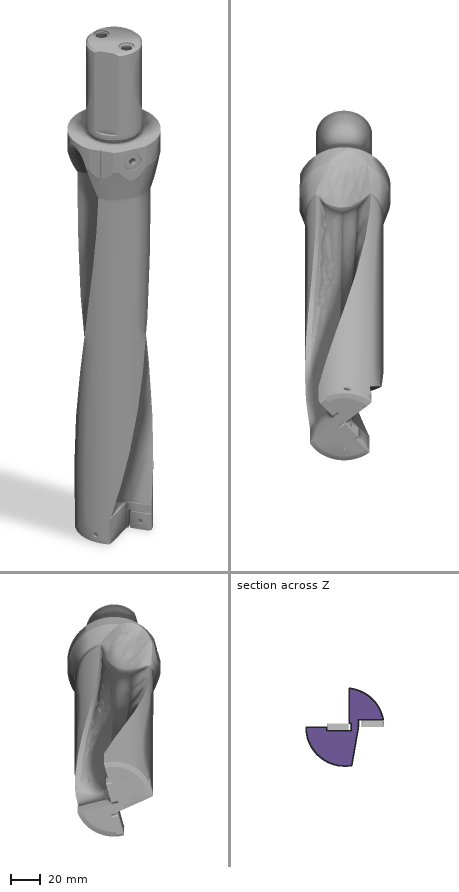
import cadquery as cq
import math


total_length = 385.0
tip_height = 1.0
collar_top = 315.0
collar_straight_bottom = 298.7
cone_bottom = 275.0

shank_radius = 38.0 / 2
collar_radius = 31.5
cone_small_radius = 27.0
drill_radius = 26.5
shank_chamfer = 1.5
tip_chamfer_width = 3.5
tip_chamfer_height = 0.8

neck_radius = 17.7
neck_height = 1.0
neck_chamfer = 0.8
neck_recess_radius = 20.0
neck_recess_depth = 0.8
shank_flat_offset = 17.0
shank_flat_bottom = 320.5

bore_circle_radius = 23.5 / 2
bore_angle = 153.0
bore_mouth_diameter = 10.8
bore_thread_diameter = 7.7
bore_diameter = 4.0
bore_mouth_depth = 1.0
bore_thread_depth = 11.5
bore_depth = 77.0

front_flat_offset = 30.5
index_line_width = 1.0
index_line_depth = 0.8
plug_flat_offset = 30.0
plug_flat_angle = -48.0
plug_height = 305.0
plug_spotface_diameter = 13.0
plug_spotface_depth = 0.8
plug_diameter = 10.0
plug_length = 9.2
plug_hex_size = 5.8
plug_hex_depth = 4.0

flute_bottom = 21.0
wall_twist = 84.0
wall_easing = 1.5
lip_twist = 74.0
lip_easing = 2.2
flute_sections = 12
flute_reach = 38.5
lip_y = 2.5
lip_x = -22.7
floor_mid = (-10.8, 3.0)
flute_corner = (-3.0, -1.0)
wall_mid = (0, -11.5)
wall_edge = (-3.0, -26.5)
runout_lean = (-0.32, -0.6)
runout_height = 46.2
runout_floor_mid = (-7.7, -3.5)
runout_wall_start = (-3.0, -15.5)

outer_insert_x = 18.5
inner_insert_x = 5.0
outer_insert_rise = 0.0
inner_insert_rise = 2.5
insert_height = 7.7
insert_width = 14.5
insert_tall = 13.0
insert_thickness = 4.5
insert_corner_radius = 1.0
pocket_gap = 1.0
pocket_relief_diameter = 2.7
screw_head_diameter = 7.7
screw_head_height = 2.7
screw_shank_diameter = 4.0
screw_length = 11.5
screw_hex_size = 4.0
screw_hex_depth = 1.5

clearance_reach = 38.5
outer_clearance_edge = 4.5
outer_clearance_root = 9.2
outer_clearance_top = flute_bottom
inner_clearance_wall = 2.7
inner_bend_z = 14.5
inner_clearance_top_x = 4.2
inner_clearance_top = flute_bottom
inner_slope_end_x = -11.0
inner_slope_end_z = 42.5

nub_x = -13.5
nub_y = -11.0
nub_diameter = 1.5


def turned_blank():
    """Shank, neck, collar, cone and drill as one turned profile."""
    neck_top = collar_top + neck_height
    profile = [
        (0, tip_height),
        (drill_radius - tip_chamfer_width, tip_height),
        (drill_radius, tip_height + tip_chamfer_height),
        (drill_radius, cone_bottom),
        (cone_small_radius, cone_bottom),
        (collar_radius, collar_straight_bottom),
        (collar_radius, collar_top),
        (neck_recess_radius, collar_top),
        (neck_recess_radius, collar_top - neck_recess_depth),
        (neck_radius, collar_top - neck_recess_depth),
        (neck_radius, neck_top),
        (shank_radius - neck_chamfer, neck_top),
        (shank_radius, neck_top + neck_chamfer),
        (shank_radius, total_length - shank_chamfer),
        (shank_radius - shank_chamfer, total_length),
        (0, total_length),
    ]
    return cq.Workplane("XZ").polyline(profile).close().revolve(360, (0, 0, 0), (0, 1, 0))


def flat_cutter(offset, bottom, top):
    """Block that leaves a flat facing -Y at the given distance from the axis."""
    size = 2 * collar_radius
    height = top - bottom
    return cq.Workplane("XY").box(size, size, height).translate(
        (0, -offset - size / 2, bottom + height / 2)
    )


def coolant_bore():
    """Stepped bore at the axis, going down from the shank end."""
    end = cq.Workplane("XY", origin=(0, 0, total_length))
    bore = end.circle(bore_diameter / 2).extrude(-bore_depth)
    bore = bore.union(end.circle(bore_thread_diameter / 2).extrude(-bore_thread_depth))
    return bore.union(end.circle(bore_mouth_diameter / 2).extrude(-bore_mouth_depth))


def turned_point(point, angle):
    """Point of the XY plane turned about the axis by an angle in degrees."""
    turn = math.radians(angle)
    x, y = point
    return (x * math.cos(turn) - y * math.sin(turn), x * math.sin(turn) + y * math.cos(turn))


def flute_section(height):
    """Closed wire of one flute at the given height.

    Lip and wall turn about the axis at their own rates, and both run straight at the cone.
    """
    progress = (height - flute_bottom) / (cone_bottom - flute_bottom)
    wall_turn = -wall_twist * (1 - progress) ** wall_easing
    lip_turn = -lip_twist * (1 - progress) ** lip_easing
    mean_turn = (wall_turn + lip_turn) / 2
    return (
        cq.Workplane("XY", origin=(0, 0, height))
        .moveTo(*turned_point((-flute_reach, lip_y), lip_turn))
        .lineTo(*turned_point((lip_x, lip_y), lip_turn))
        .threePointArc(turned_point(floor_mid, mean_turn), turned_point(flute_corner, wall_turn))
        .lineTo(*turned_point(wall_mid, wall_turn))
        .lineTo(*turned_point(wall_edge, wall_turn))
        .lineTo(*turned_point((wall_edge[0], -flute_reach), wall_turn))
        .lineTo(*turned_point((-flute_reach, -flute_reach), mean_turn))
        .close()
        .val()
    )


def twisted_flute():
    step = (cone_bottom - flute_bottom) / flute_sections
    wires = [flute_section(flute_bottom + step * i) for i in range(flute_sections + 1)]
    return cq.Workplane(cq.Solid.makeLoft(wires))


def flute_runout():
    """Round-cornered groove that leans outward through the cone and collar."""
    section = (
        cq.Workplane("XY", origin=(0, 0, cone_bottom))
        .moveTo(-flute_reach, lip_y)
        .lineTo(lip_x, lip_y)
        .threePointArc(runout_floor_mid, runout_wall_start)
        .lineTo(*wall_edge)
        .lineTo(wall_edge[0], -flute_reach)
        .lineTo(-flute_reach, -flute_reach)
        .close()
        .val()
    )
    lean_x, lean_y = runout_lean
    rise = cq.Vector(lean_x, lean_y, 1) * runout_height
    return cq.Workplane(cq.Solid.extrudeLinear(section, [], rise))


def outer_clearance():
    """Space in front of the outer insert, on the -Y side."""
    outline = [
        (outer_clearance_edge, -clearance_reach),
        (outer_clearance_edge, -drill_radius),
        (outer_clearance_root, 0),
        (clearance_reach, 0),
        (clearance_reach, -clearance_reach),
    ]
    return cq.Workplane("XY").polyline(outline).close().extrude(outer_clearance_top)


def inner_clearance():
    """Space in front of the inner insert, on the +Y side, sloping out to the flute."""
    outline = [
        (inner_clearance_wall, 0),
        (inner_clearance_wall, inner_bend_z),
        (inner_clearance_top_x, inner_clearance_top),
        (inner_slope_end_x, inner_slope_end_z),
        (-clearance_reach, inner_slope_end_z),
        (-clearance_reach, 0),
    ]
    return cq.Workplane("XZ").polyline(outline).close().extrude(-clearance_reach)


def insert_seat(center_x, rise):
    """Work plane on the insert face, facing -Y, with its origin at the insert centre."""
    return cq.Workplane("XZ", origin=(center_x, -rise, insert_height))


def insert_blank(center_x, rise):
    block = insert_seat(center_x, rise).rect(insert_width, insert_tall).extrude(-insert_thickness)
    return block.edges("|Y").fillet(insert_corner_radius)


def screw_blank(center_x, rise):
    head = insert_seat(center_x, rise).circle(screw_head_diameter / 2).extrude(-screw_head_height)
    shank = insert_seat(center_x, rise).circle(screw_shank_diameter / 2).extrude(-screw_length)
    return head.union(shank)


def make_insert(center_x, rise):
    return insert_blank(center_x, rise).cut(screw_blank(center_x, rise))


def make_screw(center_x, rise):
    socket = insert_seat(center_x, rise).polygon(6, screw_hex_size).extrude(-screw_hex_depth)
    return screw_blank(center_x, rise).cut(socket)


def insert_pocket(center_x, rise):
    """Recess behind the insert face: open below, with gaps above and beside the insert."""
    left = -insert_width / 2 - pocket_gap
    right = insert_width / 2
    top = insert_tall / 2 + pocket_gap
    seat = insert_seat(center_x, rise)
    recess = (
        seat.center((left + right) / 2, (top - insert_height) / 2)
        .rect(right - left, top + insert_height)
        .extrude(-insert_thickness)
    )
    relief = (
        insert_seat(center_x, rise)
        .center(left, top)
        .circle(pocket_relief_diameter / 2)
        .extrude(-insert_thickness)
    )
    thread = insert_seat(center_x, rise).circle(screw_shank_diameter / 2).extrude(-collar_radius)
    return recess.union(relief).union(thread)


def half_turn(workplane):
    return workplane.rotate((0, 0, 0), (0, 0, 1), 180)


def plug_plane():
    """Plane of the collar flat that carries the plug, with +Z pointing outward."""
    angle = math.radians(plug_flat_angle)
    normal = (math.cos(angle), math.sin(angle), 0)
    origin = (plug_flat_offset * normal[0], plug_flat_offset * normal[1], plug_height)
    return cq.Workplane(cq.Plane(origin=origin, xDir=(0, 0, 1), normal=normal))


def plug_face():
    return plug_plane().workplane(offset=-plug_spotface_depth)


def plug_blank():
    return plug_face().circle(plug_diameter / 2).extrude(-plug_length)


def make_plug():
    return plug_blank().cut(plug_face().polygon(6, plug_hex_size).extrude(-plug_hex_depth))


def make_drill_body():
    body = turned_blank()

    body = body.cut(flat_cutter(shank_flat_offset, shank_flat_bottom, total_length))
    for angle in (bore_angle, bore_angle + 180):
        bore = coolant_bore().translate((bore_circle_radius, 0, 0))
        body = body.cut(bore.rotate((0, 0, 0), (0, 0, 1), angle))

    body = body.cut(flat_cutter(front_flat_offset, cone_bottom, collar_top))
    plug_flat = flat_cutter(plug_flat_offset, cone_bottom, collar_top)
    body = body.cut(plug_flat.rotate((0, 0, 0), (0, 0, 1), plug_flat_angle + 90))
    line_slot = flat_cutter(front_flat_offset - index_line_depth, cone_bottom, collar_top)
    line_strip = cq.Workplane("XY").box(index_line_width, 4 * collar_radius, 2 * total_length)
    body = body.cut(line_slot.intersect(line_strip))
    body = body.cut(plug_plane().circle(plug_spotface_diameter / 2).extrude(-plug_spotface_depth))
    body = body.cut(plug_blank())

    for cutter in (twisted_flute(), flute_runout()):
        body = body.cut(cutter).cut(half_turn(cutter))

    body = body.cut(outer_clearance()).cut(inner_clearance())
    body = body.cut(insert_pocket(outer_insert_x, outer_insert_rise))
    body = body.cut(half_turn(insert_pocket(inner_insert_x, inner_insert_rise)))

    nub = cq.Workplane("XY").center(nub_x, nub_y).circle(nub_diameter / 2).extrude(2 * tip_height)
    return body.union(nub)


drill_body = make_drill_body()
outer_insert = make_insert(outer_insert_x, outer_insert_rise)
outer_screw = make_screw(outer_insert_x, outer_insert_rise)
inner_insert = half_turn(make_insert(inner_insert_x, inner_insert_rise))
inner_screw = half_turn(make_screw(inner_insert_x, inner_insert_rise))
side_plug = make_plug()

result = cq.Compound.makeCompound(
    [
        drill_body.val(),
        outer_insert.val(),
        inner_insert.val(),
        outer_screw.val(),
        inner_screw.val(),
        side_plug.val(),
    ]
)